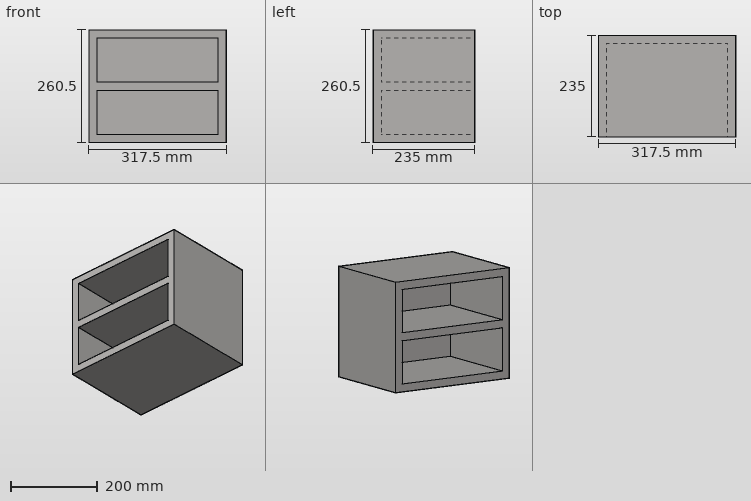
import cadquery as cq

width = 317.5
depth = 235.0
height = 260.5

board = 19.0

compartment_count = 2
compartment_width = width - 2 * board
compartment_depth = depth - board
compartment_height = (height - (compartment_count + 1) * board) / compartment_count


def compartment(index):
    """Open-fronted recess, counted from the bottom, that stops at the back board."""
    floor = board + index * (compartment_height + board)
    return (
        cq.Workplane("XY")
        .box(compartment_width, compartment_depth, compartment_height, centered=False)
        .translate((board, 0, floor))
    )


result = cq.Workplane("XY").box(width, depth, height, centered=False)

for index in range(compartment_count):
    result = result.cut(compartment(index))